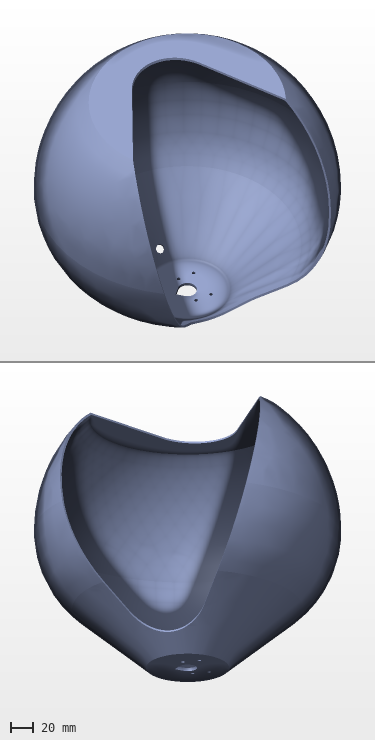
import cadquery as cq
import math

height = 235.3
max_radius = 136.6
equator_z = 129.5
upper_arc_radius = 138.8
base_radius = 37.0
flare_angle = math.radians(49.6)
wall = 2.0
floor_thickness = 3.0
floor_fillet = 4.5

opening_tilt = 27.5
opening_half_angle = math.radians(32.2)
opening_tip_radius = 41.0
opening_tip_x = -60.0
opening_length = 328.0
opening_reach = 328.0

drop_radius = 8.5
screw_diameter = 3.3
screw_half_spacing = 15.5
screw_row_pitch = 15.3
drain_diameter = 8.0
drain_z = 11.0
drain_half_length = 8.2

lower_arc_radius = (
    equator_z * math.sin(flare_angle) - (max_radius - base_radius) * math.cos(flare_angle)
) / (1 - math.cos(flare_angle))


def arc_point(radius, inset, angle):
    """Point on an equator-centred arc that reaches max_radius - inset; angle is above horizontal."""
    centre_r = max_radius - inset - radius
    return (centre_r + radius * math.cos(angle), equator_z + radius * math.sin(angle))


def revolved_body(inset, bottom_z, top_z):
    """Solid of the bowl profile, with its curved wall moved inward by inset."""
    upper_radius = upper_arc_radius - inset
    lower_radius = lower_arc_radius - inset
    top_angle = math.asin((top_z - equator_z) / upper_radius)
    bottom_r = base_radius + bottom_z * math.tan(flare_angle) - inset / math.cos(flare_angle)
    top = arc_point(upper_radius, inset, top_angle)
    return (
        cq.Workplane("XZ")
        .moveTo(0, bottom_z)
        .lineTo(bottom_r, bottom_z)
        .lineTo(*arc_point(lower_radius, inset, -flare_angle))
        .threePointArc(arc_point(lower_radius, inset, -flare_angle / 2), (max_radius - inset, equator_z))
        .threePointArc(arc_point(upper_radius, inset, top_angle / 2), top)
        .lineTo(0, top_z)
        .close()
        .revolve(360, (0, 0, 0), (0, 1, 0))
    )


def tilted_opening():
    """Rounded V prism, open towards +X, whose tip line crosses the top face."""
    tilt = math.radians(opening_tilt)
    plane = cq.Plane(
        origin=(opening_tip_x, 0, height),
        xDir=(math.cos(tilt), 0, math.sin(tilt)),
        normal=(-math.sin(tilt), 0, math.cos(tilt)),
    )
    tangent_x = opening_tip_radius * (1 - math.sin(opening_half_angle))
    tangent_y = opening_tip_radius * math.cos(opening_half_angle)
    far_y = tangent_y + (opening_reach - tangent_x) * math.tan(opening_half_angle)
    return (
        cq.Workplane(plane)
        .moveTo(tangent_x, -tangent_y)
        .threePointArc((0, 0), (tangent_x, tangent_y))
        .lineTo(opening_reach, far_y)
        .lineTo(opening_reach, -far_y)
        .close()
        .extrude(opening_length, both=True)
    )


def teardrop_hole():
    """Round floor hole with a right-angled point towards -Y."""
    flank = drop_radius * math.sqrt(0.5)
    return (
        cq.Workplane("XY")
        .moveTo(-flank, -flank)
        .threePointArc((0, drop_radius), (flank, -flank))
        .lineTo(0, -2 * flank)
        .close()
        .extrude(floor_thickness)
    )


def screw_holes():
    """Two rows of two holes through the floor."""
    centres = [(x, y) for x in (-screw_half_spacing, screw_half_spacing) for y in (0, screw_row_pitch)]
    return cq.Workplane("XY").pushPoints(centres).circle(screw_diameter / 2).extrude(floor_thickness)


def drain_hole():
    """Hole square to the cone wall on the -X side."""
    wall_x = -(base_radius + drain_z * math.tan(flare_angle))
    plane = cq.Plane(
        origin=(wall_x, 0, drain_z),
        xDir=(0, 1, 0),
        normal=(-math.cos(flare_angle), 0, -math.sin(flare_angle)),
    )
    return cq.Workplane(plane).circle(drain_diameter / 2).extrude(drain_half_length, both=True)


cavity = revolved_body(wall, floor_thickness, height - wall)
cavity = cavity.edges(cq.selectors.BoxSelector(
    (-max_radius, -max_radius, 0), (max_radius, max_radius, 2 * floor_thickness), boundingbox=True
)).fillet(floor_fillet)

result = (
    revolved_body(0, 0, height)
    .cut(cavity)
    .cut(tilted_opening())
    .cut(teardrop_hole())
    .cut(screw_holes())
    .cut(drain_hole())
)